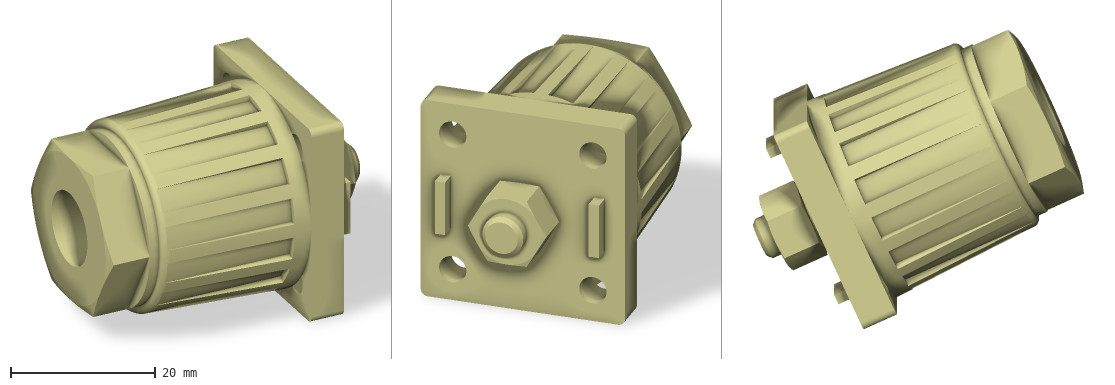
import cadquery as cq
import math


NUT_CHAMFER_ANGLE = 15.0

GLAND_FLATS = 22.0
GLAND_LENGTH = 6.0
BORE_DIAMETER = 11.0
BORE_DEPTH = GLAND_LENGTH
COLLAR_DIAMETER = 25.45
COLLAR_LENGTH = 1.5

GRIP_LENGTH = 22.55
GRIP_FRONT_RADIUS = 13.85
GRIP_BACK_RADIUS = 14.95
GRIP_FILLET = 1.05
RIB_COUNT = 16
RIB_WIDTH = 2.02
GROOVE_FLOOR_RADIUS = GRIP_FRONT_RADIUS
GRIP_PLAIN_RIM = 2.5

FLANGE_SIDE = 30.0
FLANGE_THICKNESS = 5.05
FLANGE_CORNER_RADIUS = 1.0
HOLE_DIAMETER = 4.0
HOLE_OFFSET = 10.3

TAB_THICKNESS = 1.5
TAB_HEIGHT = 8.0
TAB_LENGTH = 2.5
TAB_OFFSET = 11.3
STUD_DIAMETER = 6.0
STUD_END_CHAMFER = 0.6
STUD_NUT_FLATS = 10.0
STUD_NUT_LENGTH = 5.65
STUD_NUT_GAP = 1.1
OVERALL_LENGTH = 44.0

GRIP_FRONT = GLAND_LENGTH + COLLAR_LENGTH
FLANGE_FRONT = GRIP_FRONT + GRIP_LENGTH
FLANGE_BACK = FLANGE_FRONT + FLANGE_THICKNESS


def plane_at(y):
    """XZ sketch plane at station y whose normal points to +Y (local x is +X, local y is -Z)."""
    return cq.Workplane(cq.Plane(origin=(0, y, 0), xDir=(1, 0, 0), normal=(0, 1, 0)))


def cylinder(diameter, start, length):
    return plane_at(start).circle(diameter / 2).extrude(length)


def revolve_profile(points):
    """Turn a closed (radius, y) outline about the Y axis."""
    return cq.Workplane("XY").polyline(points).close().revolve(360, (0, 0, 0), (0, 1, 0))


def hex_nut(flats, start, length, chamfer_back):
    """Hexagon with corners on the X axis, its corners chamfered by a cone touching the flats."""
    corner_radius = flats / math.sqrt(3)
    flat_radius = flats / 2
    drop = (corner_radius - flat_radius) * math.tan(math.radians(NUT_CHAMFER_ANGLE))
    end = start + length
    outline = [(0, start), (flat_radius, start), (corner_radius, start + drop)]
    if chamfer_back:
        outline += [(corner_radius, end - drop), (flat_radius, end), (0, end)]
    else:
        outline += [(corner_radius, end), (0, end)]
    prism = plane_at(start).polygon(6, 2 * corner_radius).extrude(length)
    return prism.intersect(revolve_profile(outline))


def tapered_grip():
    """Cone with a rounded front edge, grooved so that parallel-sided ribs remain."""
    cone = revolve_profile([
        (0, GRIP_FRONT),
        (GRIP_FRONT_RADIUS, GRIP_FRONT),
        (GRIP_BACK_RADIUS, FLANGE_FRONT),
        (0, FLANGE_FRONT),
    ]).faces("<Y").edges().fillet(GRIP_FILLET)

    groove_length = GRIP_LENGTH - GRIP_PLAIN_RIM
    cutter_radius = FLANGE_SIDE
    ring = plane_at(GRIP_FRONT).circle(cutter_radius).circle(GROOVE_FLOOR_RADIUS).extrude(groove_length)
    for i in range(RIB_COUNT // 2):
        rib_pair = (
            plane_at(GRIP_FRONT)
            .rect(3 * cutter_radius, RIB_WIDTH)
            .extrude(groove_length)
            .rotate((0, 0, 0), (0, 1, 0), i * 360 / RIB_COUNT)
        )
        ring = ring.cut(rib_pair)
    return cone.cut(ring)


def flange():
    plate = (
        plane_at(FLANGE_FRONT)
        .rect(FLANGE_SIDE, FLANGE_SIDE)
        .extrude(FLANGE_THICKNESS)
        .edges("|Y")
        .fillet(FLANGE_CORNER_RADIUS)
    )
    holes = (
        plane_at(FLANGE_FRONT)
        .rect(2 * HOLE_OFFSET, 2 * HOLE_OFFSET, forConstruction=True)
        .vertices()
        .circle(HOLE_DIAMETER / 2)
        .extrude(FLANGE_THICKNESS)
    )
    return plate.cut(holes)


def rear_tabs():
    return (
        plane_at(FLANGE_BACK)
        .pushPoints([(-TAB_OFFSET, 0), (TAB_OFFSET, 0)])
        .rect(TAB_THICKNESS, TAB_HEIGHT)
        .extrude(TAB_LENGTH)
    )


def stud():
    return (
        cylinder(STUD_DIAMETER, FLANGE_BACK, OVERALL_LENGTH - FLANGE_BACK)
        .faces(">Y")
        .edges()
        .chamfer(STUD_END_CHAMFER)
    )


gland_nut = hex_nut(GLAND_FLATS, 0, GLAND_LENGTH, chamfer_back=False)
collar = cylinder(COLLAR_DIAMETER, GLAND_LENGTH, COLLAR_LENGTH)
stud_nut = hex_nut(STUD_NUT_FLATS, FLANGE_BACK + STUD_NUT_GAP, STUD_NUT_LENGTH, chamfer_back=True)

result = (
    gland_nut.union(collar)
    .union(tapered_grip())
    .union(flange())
    .union(rear_tabs())
    .union(stud())
    .union(stud_nut)
    .cut(cylinder(BORE_DIAMETER, 0, BORE_DEPTH))
)